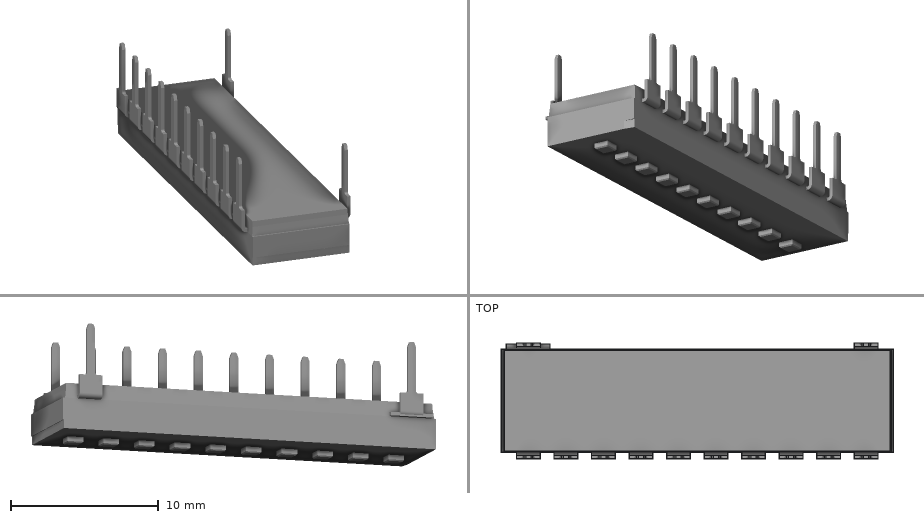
import cadquery as cq

length = 26.55
width = 6.99
cover_height = 0.58
cover_setback = 0.05
ledge_height = 2.1
housing_height = 3.13

cap_end_ledge = 0.13
cap_end_break_height = 2.74
cap_end_lower_draft = 0.08
cap_end_upper_draft = 0.03
cap_side_draft = 0.08

chamfer_x = 0.1
chamfer_y = 0.8

pins_per_row = 10
pin_row_length = 22.87
pin_pitch = pin_row_length / (pins_per_row - 1)
pin_span = 7.85
pin_thickness = 0.25
pin_tip_height = 7.2
shoulder_height = 3.7
shoulder_width = 1.62
shank_width = 0.58
shank_fillet = 0.15
tip_width = 0.32
tip_length = 0.35
bend_radius = 0.32
root_depth = 0.27

stub_start = -12.93
stub_length = 2.97
stub_overhang = 0.37

button_length = 1.12
button_width = 1.05
button_height = 0.4
button_chamfer = 0.08


def slab(x_size, y_size, bottom, top):
    return cq.Workplane("XY").workplane(offset=bottom).rect(x_size, y_size).extrude(top - bottom)


def make_cover():
    cover = slab(length - cover_setback, width, 0, cover_height).translate((-cover_setback / 2, 0, 0))
    corner_x, corner_y = -length / 2, -width / 2
    corner = (
        cq.Workplane("XY")
        .moveTo(corner_x, corner_y)
        .lineTo(corner_x + chamfer_x, corner_y)
        .lineTo(corner_x, corner_y + chamfer_y)
        .close()
        .extrude(cover_height)
    )
    return cover.cut(corner)


def make_cap():
    half_bottom = length / 2 - cap_end_ledge
    half_break = half_bottom - cap_end_lower_draft
    half_top = half_break - cap_end_upper_draft
    cross_section = (
        cq.Workplane("YZ")
        .polyline([
            (-width / 2, ledge_height),
            (width / 2, ledge_height),
            (width / 2 - cap_side_draft, housing_height),
            (-width / 2 + cap_side_draft, housing_height),
        ])
        .close()
        .extrude(half_bottom, both=True)
    )
    lengthwise_outline = (
        cq.Workplane("XZ")
        .polyline([
            (-half_bottom, ledge_height),
            (half_bottom, ledge_height),
            (half_break, cap_end_break_height),
            (half_top, housing_height),
            (-half_top, housing_height),
            (-half_break, cap_end_break_height),
        ])
        .close()
        .extrude(width / 2, both=True)
    )
    return cross_section.intersect(lengthwise_outline)


def make_front_pin():
    """Pin at X = 0 on the -Y side: an L-shaped strip trimmed to the pin's face outline."""
    outer = -pin_span / 2
    inner = outer + pin_thickness
    root = -width / 2 + root_depth
    strip = (
        cq.Workplane("YZ")
        .moveTo(root, ledge_height)
        .lineTo(outer + bend_radius, ledge_height)
        .radiusArc((outer, ledge_height + bend_radius), bend_radius)
        .lineTo(outer, pin_tip_height)
        .lineTo(inner, pin_tip_height)
        .lineTo(inner, ledge_height + bend_radius)
        .radiusArc((outer + bend_radius, ledge_height + pin_thickness), -(bend_radius - pin_thickness))
        .lineTo(root, ledge_height + pin_thickness)
        .close()
        .extrude(shoulder_width / 2, both=True)
    )
    half_shoulder = shoulder_width / 2
    half_shank = shank_width / 2
    tip_start = pin_tip_height - tip_length
    face = (
        cq.Workplane("XZ")
        .moveTo(-half_shoulder, ledge_height)
        .lineTo(half_shoulder, ledge_height)
        .lineTo(half_shoulder, shoulder_height)
        .lineTo(half_shank + shank_fillet, shoulder_height)
        .radiusArc((half_shank, shoulder_height + shank_fillet), shank_fillet)
        .lineTo(half_shank, tip_start)
        .lineTo(tip_width / 2, pin_tip_height)
        .lineTo(-tip_width / 2, pin_tip_height)
        .lineTo(-half_shank, tip_start)
        .lineTo(-half_shank, shoulder_height + shank_fillet)
        .radiusArc((-half_shank - shank_fillet, shoulder_height), shank_fillet)
        .lineTo(-half_shoulder, shoulder_height)
        .close()
        .extrude(pin_span / 2)
    )
    return strip.intersect(face)


def make_stub():
    return (
        cq.Workplane("XY")
        .workplane(offset=ledge_height)
        .moveTo(stub_start, width / 2 - root_depth)
        .rect(stub_length, stub_overhang + root_depth, centered=False)
        .extrude(pin_thickness)
    )


def make_button():
    return slab(button_length, button_width, -button_height, 0).faces("<Z").chamfer(button_chamfer)


pin_positions = [i * pin_pitch - pin_row_length / 2 for i in range(pins_per_row)]
front_pin = make_front_pin()
rear_pin = front_pin.mirror("XZ")
button = make_button()

result = slab(length, width, cover_height, ledge_height).union(make_cover()).union(make_cap())
for x in pin_positions:
    result = result.union(front_pin.translate((x, 0, 0)))
    result = result.union(button.translate((x, 0, 0)))
for x in (pin_positions[0], pin_positions[-1]):
    result = result.union(rear_pin.translate((x, 0, 0)))
result = result.union(make_stub())